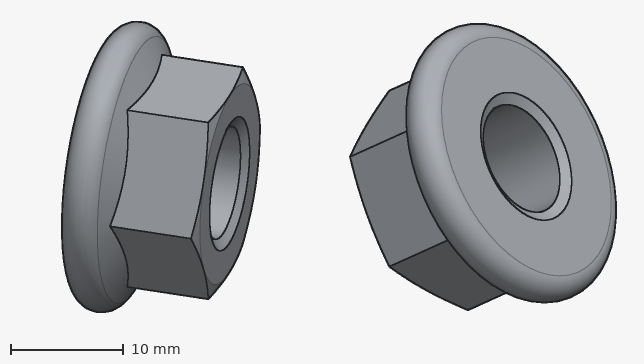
import cadquery as cq
import math

height = 12.0
flange_diameter = 26.0
rim_radius = 1.8
cone_angle = 24.5
across_flats = 18.0
crown_angle = 15.0
bore_diameter = 10.11
countersink_diameter = 12.0
countersink_angle = 60.0
corner_clearance = 0.25

across_corners = across_flats / math.cos(math.radians(30))
cone_slope = math.tan(math.radians(cone_angle))


def revolve_about_x(profile):
    """Revolve a closed profile of (axial, radial) points about the X axis."""
    return profile.close().revolve(360, (0, 0, 0), (1, 0, 0))


def rim_point(angle):
    """Point on the rim arc, with the angle measured from the radial direction toward +X."""
    a = math.radians(angle)
    rim_center_radius = flange_diameter / 2 - rim_radius
    return (rim_radius * (1 + math.sin(a)), rim_center_radius + rim_radius * math.cos(a))


def make_flange():
    """Disc with a rounded rim that runs tangentially into a cone."""
    tangent_x, tangent_r = rim_point(90 - cone_angle)
    cone_top_r = (bore_diameter + across_flats) / 4
    cone_top_x = tangent_x + (tangent_r - cone_top_r) * cone_slope
    profile = (
        cq.Workplane("XY")
        .lineTo(*rim_point(-90))
        .threePointArc(rim_point(0), (tangent_x, tangent_r))
        .lineTo(cone_top_x, cone_top_r)
        .lineTo(cone_top_x, 0)
    )
    return revolve_about_x(profile)


def make_hexagon():
    """Hexagon with flats facing +Z and -Z, its corners trimmed by a crown cone."""
    prism_start = rim_radius
    prism = (
        cq.Workplane("YZ", origin=(prism_start, 0, 0))
        .polygon(6, across_corners)
        .extrude(height - prism_start)
    )
    crown_r = across_flats / 2
    outer_r = across_corners / 2 + corner_clearance
    crown_drop = (outer_r - crown_r) * math.tan(math.radians(crown_angle))
    envelope = (
        cq.Workplane("XY")
        .lineTo(0, outer_r)
        .lineTo(height - crown_drop, outer_r)
        .lineTo(height, crown_r)
        .lineTo(height, 0)
    )
    return prism.intersect(revolve_about_x(envelope))


def make_bore():
    """Through bore countersunk at both ends."""
    bore_r = bore_diameter / 2
    sink_r = countersink_diameter / 2
    sink_depth = (sink_r - bore_r) / math.tan(math.radians(countersink_angle))
    profile = (
        cq.Workplane("XY")
        .lineTo(0, sink_r)
        .lineTo(sink_depth, bore_r)
        .lineTo(height - sink_depth, bore_r)
        .lineTo(height, sink_r)
        .lineTo(height, 0)
    )
    return revolve_about_x(profile)


result = make_flange().union(make_hexagon()).cut(make_bore())